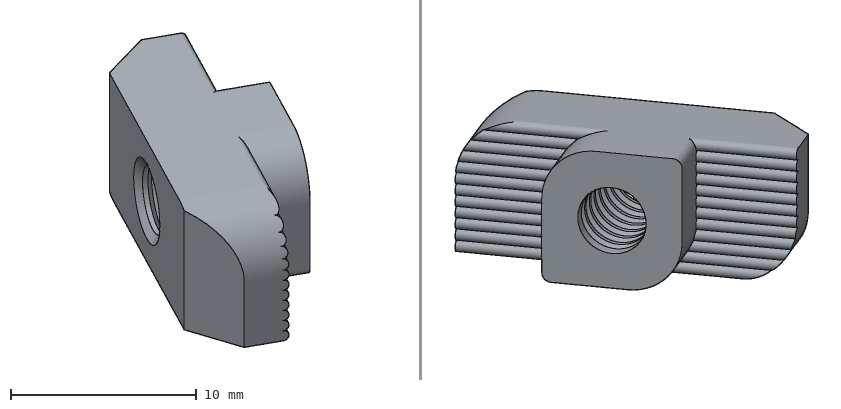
import cadquery as cq

length = 19.0
depth = 8.0
height = 7.8

flange_depth = 5.11
flange_corner_radius = 3.52
end_chamfer = 2.58

neck_width = height
neck_large_radius = 3.02
neck_small_radius = 0.51

serration_count = 12
serration_pitch = height / serration_count
serration_radius = serration_pitch / 2
flange_root_depth = flange_depth - serration_radius

hole_radius = 1.9
countersink_radius = 2.41
countersink_depth = 0.35
thread_pitch = 0.99
thread_crest = 0.3
thread_groove_depth = 0.5
thread_ring_count = int((depth - countersink_depth) / thread_pitch)


def rounded_bar(width, y_size, corner_radius):
    """Bar along Y with its top-right and bottom-left edges rounded."""
    bar = cq.Workplane("XY").box(width, y_size, height, centered=(True, False, True))
    bar = bar.faces(">X").edges(">Z").fillet(corner_radius)
    return bar.faces("<X").edges("<Z").fillet(corner_radius)


def make_serrations():
    """Half-round ridges running along X on the back of the flange."""
    z_centers = [-height / 2 + (i + 0.5) * serration_pitch for i in range(serration_count)]
    return (
        cq.Workplane("YZ")
        .pushPoints([(flange_root_depth, z) for z in z_centers])
        .circle(serration_radius)
        .extrude(length / 2, both=True)
    )


def make_flange():
    blank = cq.Workplane("XY").box(
        length, flange_root_depth, height, centered=(True, False, True)
    )
    envelope = rounded_bar(length, flange_depth, flange_corner_radius)
    plan = (
        cq.Workplane("XY")
        .moveTo(-length / 2 + end_chamfer, 0)
        .lineTo(length / 2 - end_chamfer, 0)
        .lineTo(length / 2, end_chamfer)
        .lineTo(length / 2, flange_depth)
        .lineTo(-length / 2, flange_depth)
        .lineTo(-length / 2, end_chamfer)
        .close()
        .extrude(height / 2, both=True)
    )
    return blank.union(make_serrations()).intersect(envelope).intersect(plan)


def make_neck():
    """Neck that starts inside the flange, behind the end chamfers."""
    neck = rounded_bar(neck_width, depth - end_chamfer, neck_large_radius)
    neck = neck.faces("<X").edges(">Z").fillet(neck_small_radius)
    neck = neck.faces(">X").edges("<Z").fillet(neck_small_radius)
    return neck.translate((0, end_chamfer, 0))


def make_threaded_hole():
    """Revolved cutter: the countersink, then V grooves separated by flat crests."""
    profile = (
        cq.Workplane("XY")
        .moveTo(0, 0)
        .lineTo(countersink_radius, 0)
        .lineTo(hole_radius, countersink_depth)
    )
    groove_width = thread_pitch - thread_crest
    for ring in range(thread_ring_count):
        groove_start = countersink_depth + ring * thread_pitch + thread_crest
        profile = (
            profile.lineTo(hole_radius, groove_start)
            .lineTo(hole_radius + thread_groove_depth, groove_start + groove_width / 2)
            .lineTo(hole_radius, groove_start + groove_width)
        )
    profile = profile.lineTo(hole_radius, depth).lineTo(0, depth).close()
    return profile.revolve(360, (0, 0, 0), (0, 1, 0))


result = make_flange().union(make_neck()).cut(make_threaded_hole())